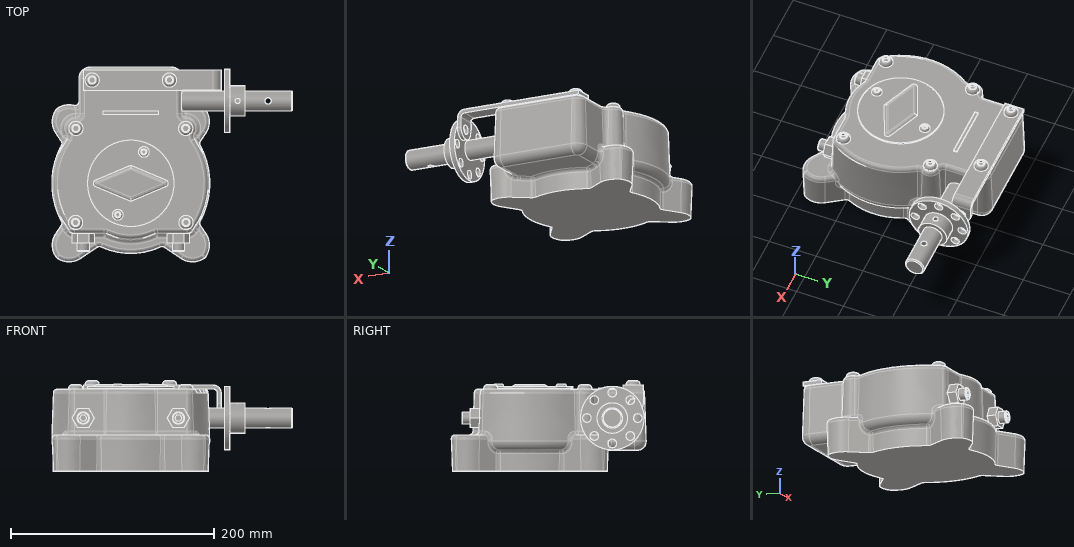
import cadquery as cq
import math

DRAFT = 2.0

FAR = 400.0

TOLERANCE = 0.001

BASE_HEIGHT = 36.0
BASE_RADIUS = 68.0
LOBE_ARC_CENTER = (60.7, 57.4)
LOBE_RADIUS = 18.87
LOBE_TIP_FILLET = 5.0
LOBE_FLANK_ANGLE = 33.7
LOBE_ROOT_FILLET = 5.0

PARTING_Z = 70.6
HOUSING_BOTTOM_Z = 20.7
COVER_TOP_Z = 81.0
HOUSING_RADIUS = 76.4
FRONT_FLAT_Y = -49.0
FRONT_BULGE_RADIUS = 55.0
BOX_HALF_WIDTH = 49.7
BOX_BACK_Y = 113.0
BOX_CORNER_RADIUS = 10.0
BOSS_OFFSET = 54.0
BOSS_RADIUS = 10.0
BOSS_ROOT_FILLET = 4.5
BULGE_ROOT_FILLET = 5.0
FLAT_CORNER_RADIUS = 7.0
HOUSING_BOTTOM_FILLET = 9.0
EDGE_FILLET = 4.0
HOUSING_ROOT_FILLET = 3.7

SHAFT_Y = 81.0
SHAFT_Z = 52.5
SHAFT_DIAMETER = 20.0
SHAFT_END_X = 159.22
SHAFT_CHAMFER = 1.2
SHAFT_PIN_X = 135.0
SHAFT_PIN_DIAMETER = 6.0
LOCK_DISC_X = 92.0
LOCK_DISC_DIAMETER = 62.5
LOCK_DISC_THICKNESS = 5.5
LOCK_HOLE_COUNT = 8
LOCK_HOLE_DIAMETER = 8.5
LOCK_HOLE_CIRCLE_RADIUS = 25.0
HUB_DIAMETER = 30.0
HUB_LENGTH = 15.0
HUB_SCREW_DIAMETER = 5.0

BRACKET_THICKNESS = 4.0
BRACKET_WIDTH = 20.0
BRACKET_Y = 101.5
BRACKET_LEFT_X = -46.7
BRACKET_RIGHT_X = 89.0
BRACKET_BEND_RADIUS = 8.0
BRACKET_HOLE_Z = 67.0
BRACKET_HOLE_DIAMETER = 9.0
BRACKET_SCREW_X = 38.0

SPIGOT_DIAMETER = 80.0
SPIGOT_HEIGHT = 0.7
PLATE_DIAMETER = 85.0
PLATE_THICKNESS = 1.6
PLATE_TOP_Z = COVER_TOP_Z + SPIGOT_HEIGHT + PLATE_THICKNESS
DIAMOND_HALF_LENGTH = 42.2
DIAMOND_HALF_WIDTH = 17.7
DIAMOND_HEIGHT = 2.1
DIAMOND_TAPER = 54.0
DIAMOND_TIP_RADIUS = 3.4
DIAMOND_EDGE_FILLET = 2.4
PLATE_SCREW_X = 12.8
PLATE_SCREW_Y = 30.9
BAR_LENGTH = 54.6
BAR_WIDTH = 3.6
BAR_HEIGHT = 1.0
BAR_Y = 69.3

LARGE_SCREW = (14.0, 4.4, 6.0)
SMALL_SCREW = (10.5, 2.8, 4.0)
SCREW_FOOT = 2.0
SCREW_TOP_RATIO = 0.57
SOCKET_DEPTH_RATIO = 0.6
SCREW_BULGE_RATIOS = (0.9, 0.6)
COVER_SCREW_FRONT = (54.3, -38.5)

STOP_X = 46.8
STOP_Z = 52.5
STOP_DIAMETER = 12.0
STOP_END_Y = -66.9
STOP_CHAMFER = 0.7
NUT_FACE_Y = -58.9
NUT_ACROSS_FLATS = 19.0
STOP_SOCKET_ACROSS_FLATS = 6.0
STOP_SOCKET_DEPTH = 6.0


def across_corners(across_flats):
    return across_flats / math.cos(math.pi / 6)


def region(x_min, x_max, y_min, y_max):
    """Selector for the outline corners inside a rectangle."""
    return cq.selectors.BoxSelector((x_min, y_min, -1), (x_max, y_max, 1))


def turned(x, y, quarter):
    """Point turned clockwise about the origin by a number of right angles."""
    return [(x, y), (y, -x), (-x, -y), (-y, x)][quarter]


def flange_outline():
    """Disc with four lobes; each has two arcs meeting at its tip and straight flanks into the disc."""
    flank = math.radians(LOBE_FLANK_ANGLE)
    along = (math.cos(flank), math.sin(flank))
    center_x, center_y = LOBE_ARC_CENTER
    tangent_x = center_x - LOBE_RADIUS * along[1]
    tangent_y = center_y + LOBE_RADIUS * along[0]
    reach = tangent_x * along[0] + tangent_y * along[1]
    distance_squared = tangent_x**2 + tangent_y**2 - reach**2
    length = reach - math.sqrt(BASE_RADIUS**2 - distance_squared)
    root_x = tangent_x - length * along[0]
    root_y = tangent_y - length * along[1]
    half_gap = (center_x - center_y) / 2
    tip = (center_x + center_y) / 2 + math.sqrt(LOBE_RADIUS**2 / 2 - half_gap**2)
    tip_angle = math.atan2(tip - center_y, tip - center_x)
    middle_angle = (tip_angle + flank + math.pi / 2) / 2
    middle_x = center_x + LOBE_RADIUS * math.cos(middle_angle)
    middle_y = center_y + LOBE_RADIUS * math.sin(middle_angle)

    wire = cq.Workplane().moveTo(-root_x, root_y)
    for quarter in range(4):
        wire = (
            wire.threePointArc(turned(0, BASE_RADIUS, quarter), turned(root_x, root_y, quarter))
            .lineTo(*turned(tangent_x, tangent_y, quarter))
            .threePointArc(turned(middle_x, middle_y, quarter), turned(tip, tip, quarter))
            .threePointArc(turned(middle_y, middle_x, quarter), turned(tangent_y, tangent_x, quarter))
            .lineTo(*turned(root_y, root_x, quarter))
        )
    root_limit = (root_x + tangent_x) / 2
    roots = region(-root_limit, root_limit, -FAR, FAR) + region(-FAR, FAR, -root_limit, root_limit)
    sketch = cq.Sketch().face(wire.wire().val())
    sketch = sketch.vertices(roots).fillet(LOBE_ROOT_FILLET).reset()
    for sx in (-1, 1):
        for sy in (-1, 1):
            corner = cq.selectors.NearestToPointSelector((sx * tip, sy * tip, 0))
            sketch = sketch.vertices(corner).fillet(LOBE_TIP_FILLET).reset()
    return sketch


def housing_outline():
    """Outline of housing and cover at the parting plane."""
    sketch = (
        cq.Sketch()
        .circle(HOUSING_RADIUS)
        .push([(0, FRONT_FLAT_Y - FAR / 2)])
        .rect(FAR, FAR, mode="s")
        .reset()
        .circle(FRONT_BULGE_RADIUS)
        .push([(0, BOX_BACK_Y / 2)])
        .rect(2 * BOX_HALF_WIDTH, BOX_BACK_Y)
        .reset()
        .push([(-BOSS_OFFSET, BOSS_OFFSET), (BOSS_OFFSET, BOSS_OFFSET)])
        .circle(BOSS_RADIUS)
        .reset()
        .clean()
    )
    wire = sketch._faces.Faces()[0].outerWire()
    bulge_end = math.sqrt(FRONT_BULGE_RADIUS**2 - FRONT_FLAT_Y**2)
    flat_end = math.sqrt(HOUSING_RADIUS**2 - FRONT_FLAT_Y**2)
    flat_middle = (bulge_end + flat_end) / 2
    flat_corners = region(-FAR, -flat_middle, -FAR, 0) + region(flat_middle, FAR, -FAR, 0)
    return (
        cq.Sketch()
        .face(wire)
        .vertices(region(-FAR, FAR, BOX_BACK_Y - TOLERANCE, FAR))
        .fillet(BOX_CORNER_RADIUS)
        .reset()
        .vertices(region(-FAR, FAR, 0, BOSS_OFFSET + BOSS_RADIUS))
        .fillet(BOSS_ROOT_FILLET)
        .reset()
        .vertices(flat_corners)
        .fillet(FLAT_CORNER_RADIUS)
        .reset()
        .vertices(region(-flat_middle, flat_middle, -FAR, 0))
        .fillet(BULGE_ROOT_FILLET)
        .reset()
    )


def lies_on(edge, solid):
    """Whether an edge runs along a solid."""
    return all(
        solid.distance(cq.Vertex.makeVertex(*edge.positionAt(place).toTuple())) < TOLERANCE
        for place in (0.25, 0.5, 0.75)
    )


def casting():
    """Flange, housing and cover in one, with the housing's root on the flange rounded."""
    flange = cq.Workplane().placeSketch(flange_outline()).extrude(BASE_HEIGHT, taper=-DRAFT)
    flange = flange.faces(">Z").edges().fillet(EDGE_FILLET)
    parting = cq.Workplane(origin=(0, 0, PARTING_Z)).placeSketch(housing_outline())
    housing = parting.extrude(HOUSING_BOTTOM_Z - PARTING_Z, taper=-DRAFT)
    housing = housing.faces("<Z").edges().fillet(HOUSING_BOTTOM_FILLET)
    cover = parting.extrude(COVER_TOP_Z - PARTING_Z, taper=DRAFT)
    cover = cover.faces(">Z").edges().fillet(EDGE_FILLET)
    joined = flange.union(housing).union(cover)
    root = [
        edge
        for edge in joined.edges().vals()
        if lies_on(edge, flange.val()) and lies_on(edge, housing.val())
    ]
    return joined.newObject(root).fillet(HOUSING_ROOT_FILLET)


def round_bar(diameter, length, start, direction):
    """Cylinder from a start point along a direction."""
    solid = cq.Solid.makeCylinder(diameter / 2, length, cq.Vector(*start), cq.Vector(*direction))
    return cq.Workplane(solid)


def hexagon(across_flats, length, start, direction):
    """Hexagonal prism with two corners along X."""
    plane = cq.Plane(origin=start, xDir=(1, 0, 0), normal=direction)
    return cq.Workplane(plane).polygon(6, across_corners(across_flats)).extrude(length)


def button_screw(size, x, y, seat_z):
    """Domed screw head with a hexagon socket; its foot sinks below the seat to bridge a rounded rim."""
    diameter, height, across_flats = size
    radius = diameter / 2
    top_radius = SCREW_TOP_RATIO * radius
    bulge = (SCREW_BULGE_RATIOS[0] * radius, SCREW_BULGE_RATIOS[1] * height)
    head = (
        cq.Workplane("XZ")
        .moveTo(0, -SCREW_FOOT)
        .lineTo(top_radius, -SCREW_FOOT)
        .lineTo(top_radius, 0)
        .lineTo(radius, 0)
        .threePointArc(bulge, (top_radius, height))
        .lineTo(0, height)
        .close()
        .revolve(360, (0, 0, 0), (0, 1, 0))
    )
    depth = SOCKET_DEPTH_RATIO * height
    socket = hexagon(across_flats, depth, (0, 0, height - depth), (0, 0, 1))
    return head.cut(socket).translate((x, y, seat_z))


def worm_shaft():
    """Shaft with locking disc and hub, drilled for a drive pin and a grub screw."""
    axis = (1, 0, 0)
    shaft = round_bar(SHAFT_DIAMETER, SHAFT_END_X, (0, SHAFT_Y, SHAFT_Z), axis)
    shaft = shaft.faces(">X").chamfer(SHAFT_CHAMFER)
    pin_hole = round_bar(
        SHAFT_PIN_DIAMETER, 2 * SHAFT_DIAMETER, (SHAFT_PIN_X, SHAFT_Y, SHAFT_Z - SHAFT_DIAMETER), (0, 0, 1)
    )
    disc = round_bar(LOCK_DISC_DIAMETER, LOCK_DISC_THICKNESS, (LOCK_DISC_X, SHAFT_Y, SHAFT_Z), axis)
    for index in range(LOCK_HOLE_COUNT):
        angle = 2 * math.pi * index / LOCK_HOLE_COUNT
        hole_y = SHAFT_Y + LOCK_HOLE_CIRCLE_RADIUS * math.cos(angle)
        hole_z = SHAFT_Z + LOCK_HOLE_CIRCLE_RADIUS * math.sin(angle)
        disc = disc.cut(
            round_bar(LOCK_HOLE_DIAMETER, LOCK_DISC_THICKNESS, (LOCK_DISC_X, hole_y, hole_z), axis)
        )
    hub_x = LOCK_DISC_X + LOCK_DISC_THICKNESS
    hub = round_bar(HUB_DIAMETER, HUB_LENGTH, (hub_x, SHAFT_Y, SHAFT_Z), axis)
    grub_hole = round_bar(
        HUB_SCREW_DIAMETER,
        HUB_DIAMETER,
        (hub_x + HUB_LENGTH / 2, SHAFT_Y, SHAFT_Z + SHAFT_DIAMETER / 2),
        (0, 0, 1),
    )
    return shaft.cut(pin_hole).union(disc).union(hub).cut(grub_hole)


def locking_bracket():
    """Strip along the cover, bent down towards the locking disc, with a round drilled end."""
    top = COVER_TOP_Z + BRACKET_THICKNESS
    length = BRACKET_RIGHT_X - BRACKET_LEFT_X
    leg_length = top - BRACKET_HOLE_Z
    leg_x = BRACKET_RIGHT_X - BRACKET_THICKNESS
    front = BRACKET_Y - BRACKET_WIDTH / 2
    strip = cq.Workplane().box(length, BRACKET_WIDTH, BRACKET_THICKNESS, centered=False)
    strip = strip.translate((BRACKET_LEFT_X, front, COVER_TOP_Z))
    leg = cq.Workplane().box(BRACKET_THICKNESS, BRACKET_WIDTH, leg_length, centered=False)
    leg = leg.translate((leg_x, front, BRACKET_HOLE_Z))
    bracket = strip.union(leg)
    bracket = bracket.edges("|Y and >X and >Z").fillet(BRACKET_BEND_RADIUS)
    inner_edge = cq.selectors.NearestToPointSelector((leg_x, BRACKET_Y, COVER_TOP_Z))
    bracket = bracket.edges(inner_edge).fillet(BRACKET_BEND_RADIUS - BRACKET_THICKNESS)
    end = (leg_x, BRACKET_Y, BRACKET_HOLE_Z)
    bracket = bracket.union(round_bar(BRACKET_WIDTH, BRACKET_THICKNESS, end, (1, 0, 0)))
    return bracket.cut(round_bar(BRACKET_HOLE_DIAMETER, BRACKET_THICKNESS, end, (1, 0, 0)))


def position_indicator():
    """Round plate on a spigot, with a raised diamond pointer."""
    spigot = round_bar(SPIGOT_DIAMETER, SPIGOT_HEIGHT, (0, 0, COVER_TOP_Z), (0, 0, 1))
    plate_z = COVER_TOP_Z + SPIGOT_HEIGHT
    plate = round_bar(PLATE_DIAMETER, PLATE_THICKNESS, (0, 0, plate_z), (0, 0, 1))
    corners = [
        (DIAMOND_HALF_LENGTH, 0),
        (0, DIAMOND_HALF_WIDTH),
        (-DIAMOND_HALF_LENGTH, 0),
        (0, -DIAMOND_HALF_WIDTH),
    ]
    outline = cq.Sketch().polygon(corners + corners[:1])
    outline = outline.vertices("<X or >X").fillet(DIAMOND_TIP_RADIUS).reset()
    diamond = cq.Workplane(origin=(0, 0, PLATE_TOP_Z)).placeSketch(outline)
    diamond = diamond.extrude(DIAMOND_HEIGHT, taper=DIAMOND_TAPER)
    diamond = diamond.faces(">Z").edges().fillet(DIAMOND_EDGE_FILLET)
    return spigot.union(plate).union(diamond)


def stop_bolt(x):
    """Lock nut and socket set screw standing out of a front flat."""
    outward = (0, -1, 0)
    inner_y = FRONT_FLAT_Y + STOP_DIAMETER
    nut = hexagon(NUT_ACROSS_FLATS, inner_y - NUT_FACE_Y, (x, inner_y, STOP_Z), outward)
    screw = round_bar(STOP_DIAMETER, inner_y - STOP_END_Y, (x, inner_y, STOP_Z), outward)
    screw = screw.faces("<Y").chamfer(STOP_CHAMFER)
    socket_start = (x, STOP_END_Y + STOP_SOCKET_DEPTH, STOP_Z)
    socket = hexagon(STOP_SOCKET_ACROSS_FLATS, STOP_SOCKET_DEPTH, socket_start, outward)
    return nut.union(screw).cut(socket)


def open_mark():
    """Raised bar across the cover."""
    bar = cq.Workplane().box(BAR_LENGTH, BAR_WIDTH, BAR_HEIGHT, centered=(True, True, False))
    return bar.translate((0, BAR_Y, COVER_TOP_Z))


def build():
    """Gear operator with its shaft, bracket, indicator and fasteners as one solid."""
    part = casting()
    for feature in (worm_shaft(), locking_bracket(), position_indicator(), open_mark()):
        part = part.union(feature)
    bracket_z = COVER_TOP_Z + BRACKET_THICKNESS
    front_x, front_y = COVER_SCREW_FRONT
    for side in (-1, 1):
        part = part.union(stop_bolt(side * STOP_X))
        part = part.union(button_screw(LARGE_SCREW, side * BRACKET_SCREW_X, BRACKET_Y, bracket_z))
        part = part.union(button_screw(LARGE_SCREW, side * BOSS_OFFSET, BOSS_OFFSET, COVER_TOP_Z))
        part = part.union(button_screw(LARGE_SCREW, side * front_x, front_y, COVER_TOP_Z))
        plate_screw = button_screw(SMALL_SCREW, side * PLATE_SCREW_X, side * PLATE_SCREW_Y, PLATE_TOP_Z)
        part = part.union(plate_screw)
    return part


result = build()